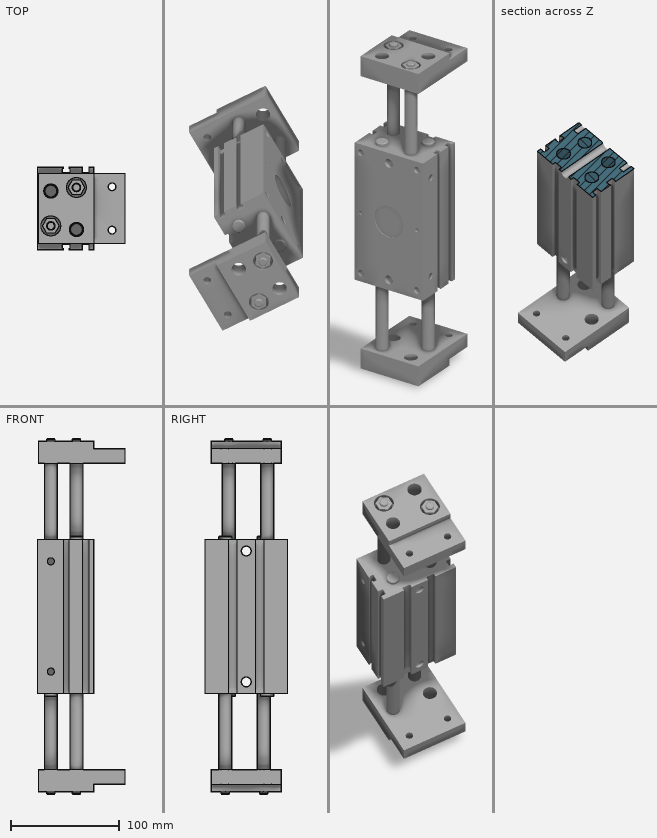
import cadquery as cq
HOUSING_DEPTH = 52.0
HOUSING_WIDTH = 76.0
HOUSING_HEIGHT = 142.0

SLOT_DEPTH = 5.0
T_SLOT_CENTER_X = 26.5
T_SLOT_MOUTH = 5.0
T_SLOT_FLOOR = 7.0
T_SLOT_LIP = 1.3
PLAIN_SLOT_CENTER_X = 44.5
PLAIN_SLOT_WIDTH = 6.0
BACK_SLOT_Y = 12.5
BACK_SLOT_WIDTH = 8.0
BACK_SLOT_DEPTH = 3.3

PORT_DIAMETER = 6.5
PORT_DEPTH = 10.0
PORT_X = 12.5
PORT_Z = 51.0

THROUGH_HOLE_DIAMETER = 9.0
THROUGH_HOLE_Z = 60.5

FACE_HOLE_Y = 31.0
CORNER_HOLE_DIAMETER = 6.5
CORNER_HOLE_DEPTH = 10.0
CORNER_HOLE_Z = 62.3
DOWEL_HOLE_DIAMETER = 4.0
DOWEL_HOLE_DEPTH = 5.0
COVER_RECESS_DIAMETER = 32.0
COVER_RECESS_DEPTH = 0.5

TOTAL_HEIGHT = 328.0
STUD_PROJECTION = 2.3
PLATE_THICKNESS = 20.5
PLATE_WIDTH = 64.5
PLATE_LEFT_X = 1.0
PLATE_RIGHT_X = 81.0
STEP_X = HOUSING_DEPTH
STEP_HEIGHT = 7.0
PLATE_TOP_Z = TOTAL_HEIGHT / 2 - STUD_PROJECTION
PLATE_BOTTOM_Z = PLATE_TOP_Z - PLATE_THICKNESS

MOUNT_HOLE_DIAMETER = 7.0
MOUNT_HOLE_X = 69.0
MOUNT_HOLE_Y = 20.0
CLEARANCE_HOLE_DIAMETER = 13.0

ROD_DIAMETER = 12.0
ROD_PROJECTION = 3.0
ROD_CHAMFER = 0.5
UPPER_ROD_POINTS = [(12.5, -16.0), (36.0, 19.5)]
LOWER_ROD_POINTS = [(x, -y) for x, y in UPPER_ROD_POINTS]

NUT_RECESS_DIAMETER = 18.5
NUT_RECESS_DEPTH = 6.5
NUT_ACROSS_CORNERS = 15.5
STUD_DIAMETER = 8.0
STUD_CHAMFER = 0.5


def side_slot(center_x, mouth, floor, lip):
    """Slot along Z in the -Y side, with a lip of width `mouth` and a floor of width `floor`."""
    outer_y = -HOUSING_WIDTH / 2
    lip_slot = cq.Workplane("XY").box(mouth, SLOT_DEPTH, HOUSING_HEIGHT, centered=(True, False, True))
    floor_slot = (
        cq.Workplane("XY")
        .box(floor, SLOT_DEPTH - lip, HOUSING_HEIGHT, centered=(True, False, True))
        .translate((0, lip, 0))
    )
    return lip_slot.union(floor_slot).translate((center_x, outer_y, 0))


def front_face_holes(points, diameter, depth):
    """Blind holes bored in +X from the housing's -X face, at (Y, Z) points."""
    return cq.Workplane("YZ").pushPoints(points).circle(diameter / 2).extrude(depth)


def make_housing():
    housing = cq.Workplane("XY").box(
        HOUSING_DEPTH, HOUSING_WIDTH, HOUSING_HEIGHT, centered=(False, True, True)
    )

    for slot in (
        side_slot(T_SLOT_CENTER_X, T_SLOT_MOUTH, T_SLOT_FLOOR, T_SLOT_LIP),
        side_slot(PLAIN_SLOT_CENTER_X, PLAIN_SLOT_WIDTH, PLAIN_SLOT_WIDTH, 0),
    ):
        housing = housing.cut(slot).cut(slot.mirror("XZ"))

    back_slots = (
        cq.Workplane("XY")
        .pushPoints([(HOUSING_DEPTH - BACK_SLOT_DEPTH / 2, y) for y in (-BACK_SLOT_Y, BACK_SLOT_Y)])
        .rect(BACK_SLOT_DEPTH, BACK_SLOT_WIDTH)
        .extrude(HOUSING_HEIGHT / 2, both=True)
    )
    housing = housing.cut(back_slots)

    bores = (
        cq.Workplane("XY")
        .pushPoints(UPPER_ROD_POINTS + LOWER_ROD_POINTS)
        .circle(ROD_DIAMETER / 2)
        .extrude(HOUSING_HEIGHT / 2, both=True)
    )
    housing = housing.cut(bores)

    ports = (
        cq.Workplane("XZ", origin=(0, -HOUSING_WIDTH / 2, 0))
        .pushPoints([(PORT_X, PORT_Z), (PORT_X, -PORT_Z)])
        .circle(PORT_DIAMETER / 2)
        .extrude(-PORT_DEPTH)
    )
    housing = housing.cut(ports)

    through_points = [(0, z) for z in (-THROUGH_HOLE_Z, THROUGH_HOLE_Z)]
    corner_points = [
        (y, z) for y in (-FACE_HOLE_Y, FACE_HOLE_Y) for z in (-CORNER_HOLE_Z, CORNER_HOLE_Z)
    ]
    dowel_points = [(y, 0) for y in (-FACE_HOLE_Y, FACE_HOLE_Y)]
    return (
        housing.cut(front_face_holes(through_points, THROUGH_HOLE_DIAMETER, HOUSING_DEPTH))
        .cut(front_face_holes(corner_points, CORNER_HOLE_DIAMETER, CORNER_HOLE_DEPTH))
        .cut(front_face_holes(dowel_points, DOWEL_HOLE_DIAMETER, DOWEL_HOLE_DEPTH))
        .cut(front_face_holes([(0, 0)], COVER_RECESS_DIAMETER, COVER_RECESS_DEPTH))
    )


def make_plate():
    """Stepped end plate above the housing, with its plain through holes."""
    plate = (
        cq.Workplane("XZ")
        .moveTo(PLATE_LEFT_X, PLATE_BOTTOM_Z)
        .lineTo(PLATE_RIGHT_X, PLATE_BOTTOM_Z)
        .lineTo(PLATE_RIGHT_X, PLATE_TOP_Z - STEP_HEIGHT)
        .lineTo(STEP_X, PLATE_TOP_Z - STEP_HEIGHT)
        .lineTo(STEP_X, PLATE_TOP_Z)
        .lineTo(PLATE_LEFT_X, PLATE_TOP_Z)
        .close()
        .extrude(PLATE_WIDTH / 2, both=True)
    )
    mount_points = [(MOUNT_HOLE_X, y) for y in (-MOUNT_HOLE_Y, MOUNT_HOLE_Y)]
    for points, diameter in (
        (mount_points, MOUNT_HOLE_DIAMETER),
        (LOWER_ROD_POINTS, CLEARANCE_HOLE_DIAMETER),
    ):
        holes = (
            cq.Workplane("XY", origin=(0, 0, PLATE_BOTTOM_Z))
            .pushPoints(points)
            .circle(diameter / 2)
            .extrude(PLATE_THICKNESS)
        )
        plate = plate.cut(holes)
    return plate


def make_rod():
    """Rod at X = Y = 0 from its chamfered lower end up into the plate."""
    bottom_z = -HOUSING_HEIGHT / 2 - ROD_PROJECTION
    return (
        cq.Workplane("XY", origin=(0, 0, bottom_z))
        .circle(ROD_DIAMETER / 2)
        .extrude(PLATE_BOTTOM_Z - bottom_z)
        .faces("<Z")
        .chamfer(ROD_CHAMFER)
    )


def make_nut_recess():
    """Round recess at X = Y = 0 in the plate's top, with the flush hexagonal nut left standing."""
    return (
        cq.Workplane("XY", origin=(0, 0, PLATE_TOP_Z))
        .circle(NUT_RECESS_DIAMETER / 2)
        .polygon(6, NUT_ACROSS_CORNERS)
        .extrude(-NUT_RECESS_DEPTH)
    )


def make_stud():
    """Threaded end of the rod at X = Y = 0, projecting above the nut."""
    return (
        cq.Workplane("XY", origin=(0, 0, PLATE_TOP_Z))
        .circle(STUD_DIAMETER / 2)
        .extrude(STUD_PROJECTION)
        .faces(">Z")
        .chamfer(STUD_CHAMFER)
    )


def make_upper_yoke():
    yoke = make_plate()
    for x, y in UPPER_ROD_POINTS:
        place = (x, y, 0)
        yoke = (
            yoke.cut(make_nut_recess().translate(place))
            .union(make_rod().translate(place))
            .union(make_stud().translate(place))
        )
    return yoke


housing = make_housing()
yokes = [make_upper_yoke().rotate((0, 0, 0), (1, 0, 0), angle) for angle in (0, 180)]

result = cq.Compound.makeCompound([housing.val(), *[yoke.val() for yoke in yokes]])